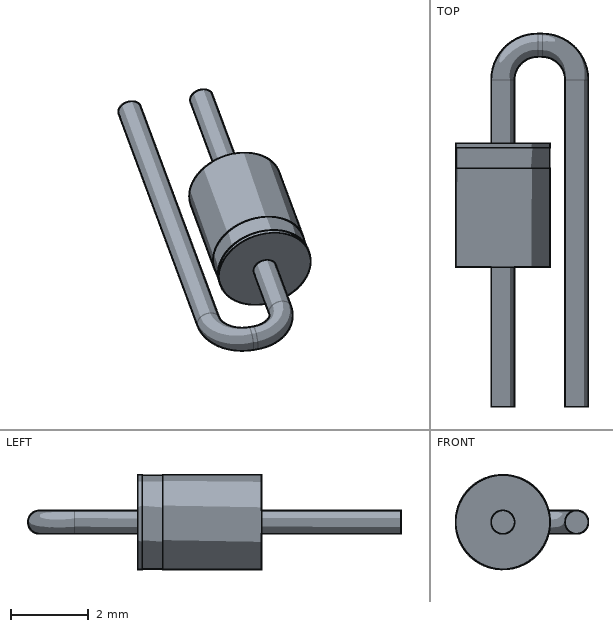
import cadquery as cq

total_length = 9.63
body_diameter = 2.45
wire_diameter = 0.61
lead_pitch = 1.91

body_start = 3.6
band_start = 6.15
rim_start = 6.68
body_end = 6.8
band_diameter = 2.43

bridge_length = 0.12
bend_radius = (lead_pitch - bridge_length) / 2
bend_start = total_length - wire_diameter / 2 - bend_radius
bend_top = bend_start + bend_radius
arc_offset = bend_radius * 0.5 ** 0.5


def cylinder_along_y(diameter, start, end):
    """Cylinder on the body axis between two stations along Y."""
    plane = cq.Plane(origin=(0, start, 0), xDir=(1, 0, 0), normal=(0, 1, 0))
    return cq.Workplane(plane).circle(diameter / 2).extrude(end - start)


def make_body():
    """Main barrel, slightly narrower band and end rim."""
    barrel = cylinder_along_y(body_diameter, body_start, band_start)
    band = cylinder_along_y(band_diameter, band_start, rim_start)
    rim = cylinder_along_y(body_diameter, rim_start, body_end)
    return barrel.union(band).union(rim)


def make_wire():
    """Round wire swept through the body, over the bend and back."""
    left_center = bend_radius
    right_center = left_center + bridge_length
    path = (
        cq.Workplane("XY")
        .lineTo(0, bend_start)
        .threePointArc((left_center - arc_offset, bend_start + arc_offset), (left_center, bend_top))
        .lineTo(right_center, bend_top)
        .threePointArc((right_center + arc_offset, bend_start + arc_offset), (lead_pitch, bend_start))
        .lineTo(lead_pitch, 0)
    )
    return cq.Workplane("XZ").circle(wire_diameter / 2).sweep(path)


result = make_body().union(make_wire())